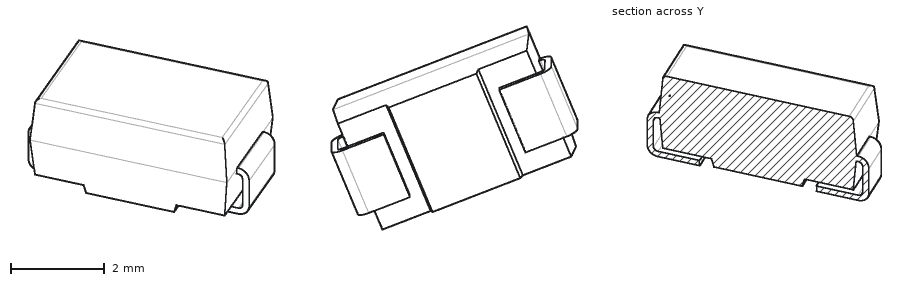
import cadquery as cq
import math

overall_length = 5.05
overall_height = 2.17

body_length = 4.5
body_width = 2.7
upper_height = 1.0
draft_angle = 5.0
top_edge_radius = 0.1
body_bottom_z = 0.25

pad_bottom_z = 0.05
pad_root_length = 2.12
pad_end_angle = 15.0

lead_width = 1.5
lead_thickness = 0.15
foot_length = 1.2
bend_inner_radius = 0.1
root_embed = 0.3

parting_z = overall_height - upper_height
lower_height = parting_z - pad_bottom_z
pad_height = body_bottom_z - pad_bottom_z
pad_tip_length = pad_root_length - 2 * pad_height * math.tan(math.radians(pad_end_angle))


def make_upper_body():
    """Tapered upper half with a rounded rim around the top face."""
    block = (
        cq.Workplane("XY")
        .workplane(offset=parting_z)
        .rect(body_length, body_width)
        .extrude(upper_height, taper=draft_angle)
    )
    return block.faces(">Z").edges().fillet(top_edge_radius)


def make_lower_body():
    """Tapered lower half, cut back at both ends to leave the central pad."""
    block = (
        cq.Workplane("XY", origin=(0, 0, parting_z))
        .rect(body_length, body_width)
        .extrude(-lower_height, taper=draft_angle)
    )
    side_profile = (
        cq.Workplane("XZ")
        .moveTo(-body_length / 2, parting_z)
        .lineTo(-body_length / 2, body_bottom_z)
        .lineTo(-pad_root_length / 2, body_bottom_z)
        .lineTo(-pad_tip_length / 2, pad_bottom_z)
        .lineTo(pad_tip_length / 2, pad_bottom_z)
        .lineTo(pad_root_length / 2, body_bottom_z)
        .lineTo(body_length / 2, body_bottom_z)
        .lineTo(body_length / 2, parting_z)
        .close()
        .extrude(body_width / 2, both=True)
    )
    return block.intersect(side_profile)


def round_corners(strip, corners, radius):
    """Fillet the edges along Y that lie nearest to the given points."""
    for corner in corners:
        nearest = cq.selectors.NearestToPointSelector(corner)
        strip = strip.edges("|Y").edges(nearest).fillet(radius)
    return strip


def make_left_lead():
    """Strip leaving the body at the parting plane, bent down and then under it."""
    outer_x = -overall_length / 2
    inner_x = outer_x + lead_thickness
    foot_end_x = outer_x + foot_length
    root_x = -body_length / 2 + root_embed
    strip = (
        cq.Workplane("XZ")
        .moveTo(root_x, parting_z)
        .lineTo(outer_x, parting_z)
        .lineTo(outer_x, 0)
        .lineTo(foot_end_x, 0)
        .lineTo(foot_end_x, lead_thickness)
        .lineTo(inner_x, lead_thickness)
        .lineTo(inner_x, parting_z - lead_thickness)
        .lineTo(root_x, parting_z - lead_thickness)
        .close()
        .extrude(lead_width / 2, both=True)
    )
    outer_corners = ((outer_x, 0, parting_z), (outer_x, 0, 0))
    inner_corners = ((inner_x, 0, parting_z - lead_thickness), (inner_x, 0, lead_thickness))
    strip = round_corners(strip, outer_corners, bend_inner_radius + lead_thickness)
    strip = round_corners(strip, inner_corners, bend_inner_radius)
    return strip


left_lead = make_left_lead()
right_lead = left_lead.mirror("YZ")

result = make_upper_body().union(make_lower_body()).union(left_lead).union(right_lead)